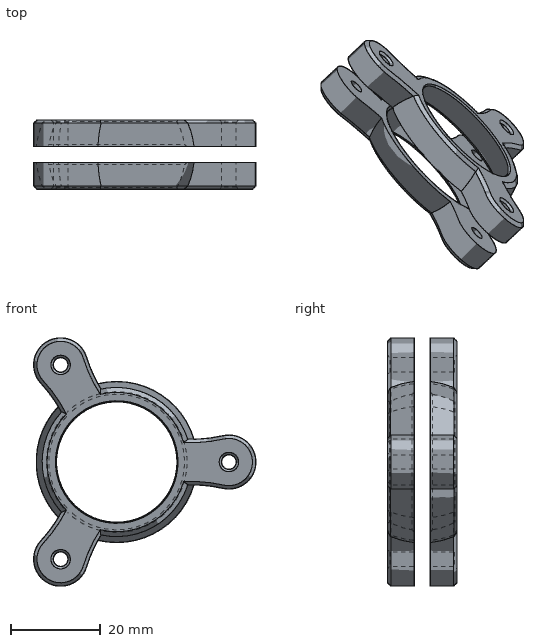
import cadquery as cq
import math

overall_height = 55.25
overall_depth = 15.5
gap = 3.5
chamfer = 0.8

outer_ball_radius = 18.0
inner_ball_radius = 15.25
seat_chamfer = 0.5

lug_count = 3
lug_radius = 6.0
hole_diameter = 3.2
hole_mouth_diameter = 4.3
neck_half_width = 5.1
neck_x = 16.6
root_x = 13.25

half_depth = overall_depth / 2
thickness = half_depth - gap / 2
lug_step = 360 / lug_count
lug_distance = (overall_height / 2 - lug_radius) / math.sin(math.radians(lug_step))

neck_length = lug_distance - neck_x
neck_arc_radius = (neck_length**2 + neck_half_width**2 - lug_radius**2) / (2 * (lug_radius - neck_half_width))
neck_arc_z = neck_half_width + neck_arc_radius


def circle_height(radius, distance):
    """Half chord of a circle at a given distance from its centre."""
    return math.sqrt(radius**2 - distance**2)


def gap_plane():
    """XZ workplane on the inner face of the front half, facing -Y."""
    return cq.Workplane("XZ", origin=(0, -gap / 2, 0))


def make_ring_blank():
    """Disc with a spherical side and a chamfered front edge."""
    ball = cq.Workplane("XZ").sphere(outer_ball_radius)
    slab = gap_plane().circle(outer_ball_radius).extrude(thickness)
    return ball.intersect(slab).faces("<Y").edges().chamfer(chamfer)


def make_lug():
    """Waisted lug along +X with a chamfered front outline."""
    tangent_share = lug_radius / (lug_radius + neck_arc_radius)
    tangent_x = lug_distance - neck_length * tangent_share
    tangent_z = neck_arc_z * tangent_share
    root_z = neck_arc_z - circle_height(neck_arc_radius, root_x - neck_x)
    outline = (
        gap_plane()
        .moveTo(0, root_z)
        .lineTo(root_x, root_z)
        .threePointArc((neck_x, neck_half_width), (tangent_x, tangent_z))
        .threePointArc((lug_distance + lug_radius, 0), (tangent_x, -tangent_z))
        .threePointArc((neck_x, -neck_half_width), (root_x, -root_z))
        .lineTo(0, -root_z)
        .close()
    )
    return outline.extrude(thickness).faces("<Y").edges().chamfer(chamfer)


def make_screw_hole():
    """Through hole with a 45 degree countersink at the front face."""
    hole_radius = hole_diameter / 2
    mouth_radius = hole_mouth_diameter / 2
    sink_depth = mouth_radius - hole_radius
    profile = (
        cq.Workplane("XY")
        .polyline([
            (0, 0),
            (hole_radius, 0),
            (hole_radius, sink_depth - half_depth),
            (mouth_radius, -half_depth),
            (0, -half_depth),
        ])
        .close()
    )
    return profile.revolve(360, (0, 0), (0, 1)).translate((lug_distance, 0, 0))


def seat_point(angle):
    """Point of the spherical seat at an angle forward of the XZ plane."""
    return (inner_ball_radius * math.cos(angle), -inner_ball_radius * math.sin(angle))


def make_bore():
    """Spherical seat with a chamfered rim at the front and gap faces."""
    front_angle = math.asin(half_depth / inner_ball_radius)
    gap_angle = math.asin(gap / 2 / inner_ball_radius)
    chamfer_angle = seat_chamfer / inner_ball_radius
    front_rim_radius = seat_point(front_angle)[0] + seat_chamfer
    gap_rim_radius = seat_point(gap_angle)[0] + seat_chamfer
    profile = (
        cq.Workplane("XY")
        .moveTo(0, -half_depth)
        .lineTo(front_rim_radius, -half_depth)
        .lineTo(*seat_point(front_angle - chamfer_angle))
        .threePointArc(
            seat_point((front_angle + gap_angle) / 2),
            seat_point(gap_angle + chamfer_angle),
        )
        .lineTo(gap_rim_radius, -gap / 2)
        .lineTo(0, -gap / 2)
        .close()
    )
    return profile.revolve(360, (0, 0), (0, 1))


def make_clamp_half():
    """Front half: ring and lugs, opened by the bore and the screw holes."""
    half = make_ring_blank()
    lug = make_lug()
    hole = make_screw_hole()
    angles = [index * lug_step for index in range(lug_count)]
    for angle in angles:
        half = half.union(lug.rotate((0, 0, 0), (0, 1, 0), angle))
    half = half.cut(make_bore())
    for angle in angles:
        half = half.cut(hole.rotate((0, 0, 0), (0, 1, 0), angle))
    return half


front_half = make_clamp_half()
back_half = front_half.mirror("XZ")

result = cq.Compound.makeCompound([front_half.val(), back_half.val()])